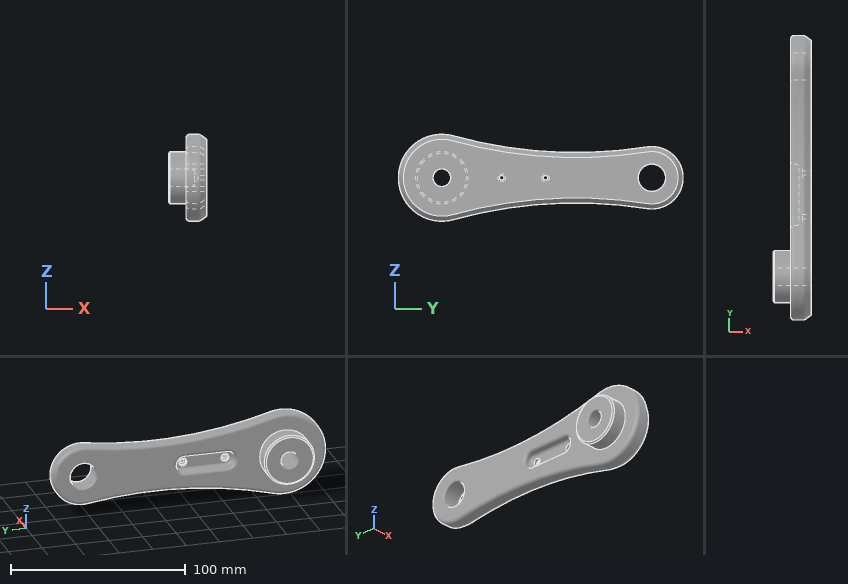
import cadquery as cq
import math

total_length = 163.0
plate_thickness = 12.0
boss_height = 10.0
boss_diameter = 30.0
boss_chamfer = 1.0

large_end_radius = 25.0
small_end_radius = 18.0
flank_radius = 260.8
end_spacing = total_length - large_end_radius - small_end_radius

front_fillet = 2.3
back_chamfer_depth = 4.0
back_chamfer_inset = 3.0
chamfer_blend_radius = 2.5

boss_hole_diameter = 10.0
small_end_hole_diameter = 15.5
slot_hole_diameter = 2.5
counterbore_diameter = 4.5
counterbore_depth = 2.0
rim_fillet = 1.0

slot_width = 10.0
slot_depth = 5.0
slot_hole_spacing = 25.1
slot_center_y = 46.8
slot_fillet = 2.0


def plate_outline(inset, x):
    """Closed outline in the plane at x, offset inwards by inset."""
    large = large_end_radius - inset
    small = small_end_radius - inset
    flank = flank_radius + inset

    to_large = flank + large
    to_small = flank + small
    center_y = (end_spacing**2 + to_large**2 - to_small**2) / (2 * end_spacing)
    center_z = math.sqrt(to_large**2 - center_y**2)

    large_y = center_y * large / to_large
    large_z = center_z * large / to_large
    small_y = end_spacing + (center_y - end_spacing) * small / to_small
    small_z = center_z * small / to_small
    waist_z = center_z - flank

    return (
        cq.Workplane("YZ", origin=(x, 0, 0))
        .moveTo(large_y, large_z)
        .threePointArc((center_y, waist_z), (small_y, small_z))
        .threePointArc((end_spacing + small, 0), (small_y, -small_z))
        .threePointArc((center_y, -waist_z), (large_y, -large_z))
        .threePointArc((-large, 0), (large_y, large_z))
        .close()
    )


def make_plate():
    chamfer_start = plate_thickness - back_chamfer_depth
    body = plate_outline(0, 0).extrude(chamfer_start)
    taper = math.degrees(math.atan2(back_chamfer_inset, back_chamfer_depth))
    rim = plate_outline(0, chamfer_start).extrude(back_chamfer_depth, taper=taper)
    plate = body.union(rim)
    blend_edges = cq.selectors.BoxSelector(
        (chamfer_start - 0.2, -total_length, -total_length),
        (chamfer_start + 0.2, total_length, total_length),
    )
    plate = plate.edges(blend_edges).fillet(chamfer_blend_radius)
    return plate.faces("<X").edges().fillet(front_fillet)


def make_boss():
    boss = cq.Workplane("YZ").circle(boss_diameter / 2).extrude(-boss_height)
    return boss.faces("<X").edges().chamfer(boss_chamfer)


def cut_slot(part):
    length = slot_hole_spacing + slot_width
    pocket = (
        cq.Workplane("YZ")
        .center(slot_center_y, 0)
        .slot2D(length, slot_width)
        .extrude(slot_depth)
        .faces(">X")
        .edges()
        .fillet(slot_fillet)
    )
    part = part.cut(pocket)
    mouth = cq.selectors.BoxSelector(
        (-0.2, slot_center_y - length, -slot_width),
        (0.2, slot_center_y + length, slot_width),
    )
    return part.edges(mouth).fillet(slot_fillet)


def rounded_hole_cutter(diameter, y, start_x):
    """Hole from start_x through the back, with a rounded front rim."""
    radius = diameter / 2
    return (
        cq.Workplane("XY")
        .moveTo(start_x, 0)
        .lineTo(start_x, radius + rim_fillet)
        .radiusArc((start_x + rim_fillet, radius), -rim_fillet)
        .lineTo(plate_thickness, radius)
        .lineTo(plate_thickness, 0)
        .close()
        .revolve(360, (0, 0, 0), (1, 0, 0))
        .translate((0, y, 0))
    )


def counterbored_cutter(y):
    """Slot hole through the back, counterbored from the slot floor."""
    hole_length = plate_thickness - slot_depth
    floor = cq.Workplane("YZ", origin=(slot_depth, y, 0))
    hole = floor.circle(slot_hole_diameter / 2).extrude(hole_length)
    counterbore = floor.circle(counterbore_diameter / 2).extrude(counterbore_depth)
    return hole.union(counterbore)


result = cut_slot(make_plate()).union(make_boss())
result = result.cut(rounded_hole_cutter(boss_hole_diameter, 0, -boss_height))
result = result.cut(rounded_hole_cutter(small_end_hole_diameter, end_spacing, 0))
for side in (-1, 1):
    hole_y = slot_center_y + side * slot_hole_spacing / 2
    result = result.cut(counterbored_cutter(hole_y))